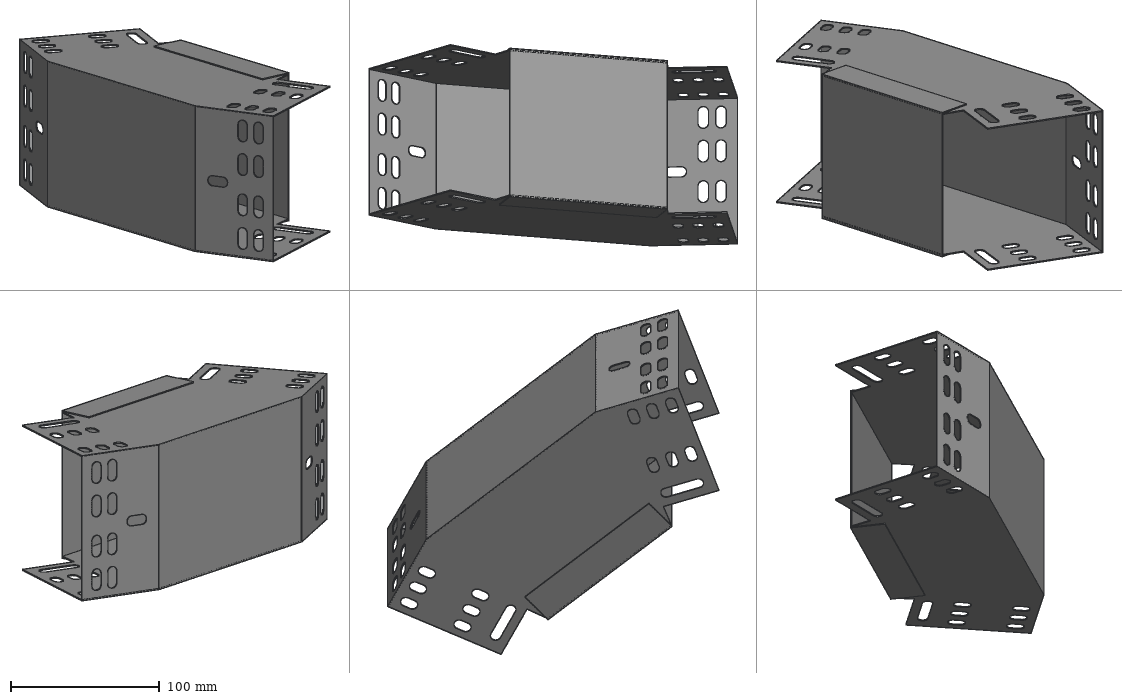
import cadquery as cq
import math

overall_length = 260.0
overall_depth = 101.1
overall_height = 103.2
sheet = 0.8
bend_angle = 22.5

front_half = 75.7
notch_length = 39.5

clip_length = 111.0
clip_flange = 23.7

slot_width = 7.0
plate_slot_length = 12.0
plate_slot_stations = [8.5, 22.0, 35.5]
plate_slot_offsets = [12.0, 52.0]
rear_slot_length = 30.0
rear_slot_station = 23.0
rear_slot_offset = 75.5

wall_slot_length = 15.0
wall_slot_stations = [11.2, 23.1]
wall_slot_heights = [-37.5, -14.0, 14.0, 37.5]
level_slot_length = 14.8
level_slot_station = 41.9

bend = math.radians(bend_angle)
half_length = overall_length / 2
tray_height = overall_height - 2 * sheet
tray_back = overall_depth - sheet
end_front_y = (half_length - front_half) * math.tan(bend)
leg_width = (overall_depth - end_front_y) / math.cos(bend)


def leg_point(station, offset):
    """XY point of the left leg, measured from the outer front corner of its end."""
    x = -half_length + station * math.cos(bend) + offset * math.sin(bend)
    y = end_front_y - station * math.sin(bend) + offset * math.cos(bend)
    return (x, y)


def symmetric_outline(left_points):
    """Closed XY outline from its left half, listed from front to rear."""
    right_points = [(-x, y) for x, y in reversed(left_points)]
    return cq.Workplane("XY").polyline(left_points + right_points).close()


def plate():
    left = [
        (-front_half, 0),
        leg_point(0, 0),
        leg_point(0, leg_width),
        leg_point(notch_length, leg_width),
        (-clip_length / 2, tray_back),
    ]
    return symmetric_outline(left).extrude(sheet)


def front_wall():
    inner_front_half = front_half - sheet * math.tan(bend / 2)
    left_outer = [(-front_half, 0), leg_point(0, 0)]
    left_inner = [leg_point(0, sheet), (-inner_front_half, sheet)]
    outline = symmetric_outline(left_outer + left_inner)
    return outline.extrude(tray_height / 2, both=True)


def plate_slot_cutter(station, offset, length, angle):
    """Vertical slot through both plates of the left leg."""
    return (
        cq.Workplane("XY")
        .center(*leg_point(station, offset))
        .slot2D(length, slot_width, angle)
        .extrude(overall_height / 2, both=True)
    )


def wall_slot_cutter(station, height, length, angle):
    """Slot through the angled front wall of the left leg, square to that wall."""
    wall_plane = cq.Plane(
        origin=(*leg_point(station, 0), height),
        xDir=(math.cos(bend), -math.sin(bend), 0),
        normal=(-math.sin(bend), -math.cos(bend), 0),
    )
    return cq.Workplane(wall_plane).slot2D(length, slot_width, angle).extrude(2 * sheet, both=True)


def left_slot_cutters():
    along_leg = -bend_angle
    across_leg = 90 - bend_angle
    cutters = [plate_slot_cutter(rear_slot_station, rear_slot_offset, rear_slot_length, along_leg)]
    for station in plate_slot_stations:
        for offset in plate_slot_offsets:
            cutters.append(plate_slot_cutter(station, offset, plate_slot_length, across_leg))
    for station in wall_slot_stations:
        for height in wall_slot_heights:
            cutters.append(wall_slot_cutter(station, height, wall_slot_length, 90))
    cutters.append(wall_slot_cutter(level_slot_station, 0, level_slot_length, 0))
    return cutters


def make_tray():
    top_plate = plate().translate((0, 0, tray_height / 2 - sheet))
    bottom_plate = plate().translate((0, 0, -tray_height / 2))
    tray = front_wall().union(top_plate).union(bottom_plate)
    for cutter in left_slot_cutters():
        tray = tray.cut(cutter).cut(cutter.mirror("YZ"))
    return tray


def make_clip():
    """C-shaped clip: a rear wall with flanges lying on the tray's top and bottom plates."""
    front_y = overall_depth - clip_flange
    block = cq.Workplane("XY").box(clip_length, clip_flange, overall_height, centered=(True, False, True))
    opening = cq.Workplane("XY").box(
        clip_length, clip_flange - sheet, tray_height, centered=(True, False, True)
    )
    return block.cut(opening).translate((0, front_y, 0))


tray = make_tray()
clip = make_clip()
result = cq.Compound.makeCompound([tray.val(), clip.val()])